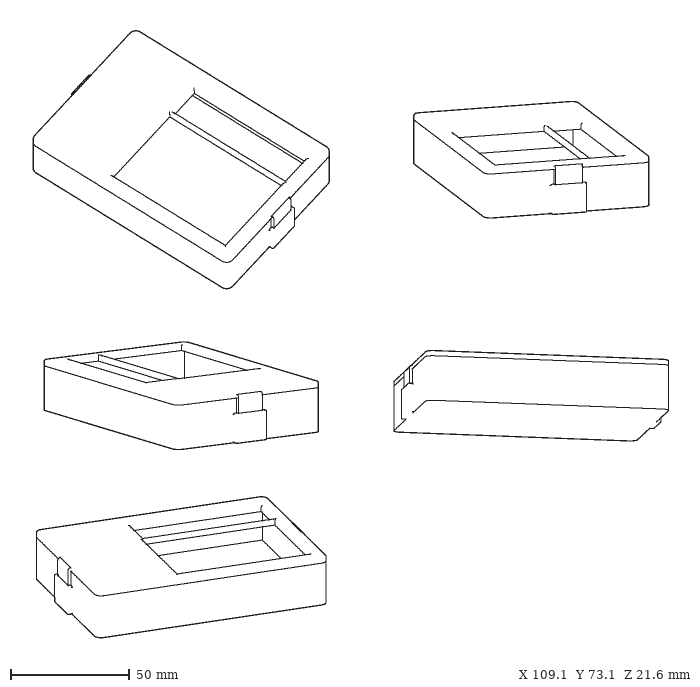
import cadquery as cq
length = 105.08
width = 73.08
height = 21.6
wall = 2.4
corner_radius = 3.2
lid_thickness = wall
lid_edge_radius = 0.7
base_height = height - lid_thickness

window_x_max = 46.35
screen_x_min = -13.6
screen_y_min = -30.3
screen_y_max = 9.9
screen_rim_radius = 0.7
key_x_min = -12.7
key_y_min = 11.75
key_y_max = 25.9
key_rim_radius = 1.0

blend_radius = 0.32
arm_width = 12.0
arm_thickness = 1.2
arm_top = height - 0.85
arm_bottom = wall
sleeve_width = 15.36
sleeve_depth = 2.03
sleeve_height = 12.8
sleeve_edge_radius = 0.4


def block(x_min, x_max, y_min, y_max, z_min, z_max):
    """Axis-aligned block between the given limits."""
    size = (x_max - x_min, y_max - y_min, z_max - z_min)
    return cq.Workplane("XY").box(*size, centered=False).translate((x_min, y_min, z_min))


def case_slab(z_min, z_max):
    """Slab with the rounded outline of the case."""
    slab = block(-length / 2, length / 2, -width / 2, width / 2, z_min, z_max)
    return slab.edges("|Z").fillet(corner_radius)


def cut_window(lid, x_min, x_max, y_min, y_max, rim_radius):
    """Cut an opening through the lid and round its upper rim."""
    lid = lid.cut(block(x_min, x_max, y_min, y_max, base_height, height))
    margin = 0.1
    rim = cq.selectors.BoxSelector(
        (x_min - margin, y_min - margin, height - margin),
        (x_max + margin, y_max + margin, height + margin),
    )
    return lid.edges(rim).fillet(rim_radius)


def end_pad(pad_width, thickness, z_min, z_max):
    """Upright pad on the +X end face whose two sides meet that face on concave rounds."""
    x_face = length / 2
    side = pad_width / 2
    toe = side + blend_radius
    x_blend = x_face + blend_radius
    x_out = x_face + thickness
    return (
        cq.Workplane("XY", origin=(0, 0, z_min))
        .moveTo(x_face, -toe)
        .radiusArc((x_blend, -side), blend_radius)
        .lineTo(x_out, -side)
        .lineTo(x_out, side)
        .lineTo(x_blend, side)
        .radiusArc((x_face, toe), blend_radius)
        .close()
        .extrude(z_max - z_min)
    )


def clip_arm():
    """Arm along the end face, with its outer top edge rounded over."""
    arm = end_pad(arm_width, arm_thickness, arm_bottom, arm_top)
    rounding_z = arm_top - arm_thickness
    x_face = length / 2
    x_out = x_face + arm_thickness
    profile = (
        cq.Workplane("XZ", origin=(0, width / 2, 0))
        .moveTo(x_face, arm_bottom)
        .lineTo(x_out, arm_bottom)
        .lineTo(x_out, rounding_z)
        .radiusArc((x_face, arm_top), -arm_thickness)
        .close()
        .extrude(width)
    )
    return arm.intersect(profile)


def sleeve():
    """Sleeve block, solid until the arm is cut out of it, with all edges away from the base rounded."""
    half_width = sleeve_width / 2
    x_out = length / 2 + sleeve_depth
    body = block(length / 2, x_out, -half_width, half_width, 0, sleeve_height)
    body = body.edges("|X or >X").fillet(sleeve_edge_radius)
    blends = end_pad(
        sleeve_width,
        sleeve_depth - sleeve_edge_radius,
        sleeve_edge_radius,
        sleeve_height - sleeve_edge_radius,
    )
    return body.union(blends)


def both_ends(feature):
    """The feature at the +X end and its mirror image at the -X end."""
    return [feature, feature.mirror("YZ")]


def make_lid():
    lid = case_slab(base_height, height).faces(">Z").edges().fillet(lid_edge_radius)
    lid = cut_window(lid, screen_x_min, window_x_max, screen_y_min, screen_y_max, screen_rim_radius)
    lid = cut_window(lid, key_x_min, window_x_max, key_y_min, key_y_max, key_rim_radius)
    for arm in both_ends(clip_arm()):
        lid = lid.union(arm)
    return lid


def make_base():
    base = case_slab(0, base_height)
    for end_sleeve in both_ends(sleeve()):
        base = base.union(end_sleeve)
    x_inside = length / 2 - wall
    y_inside = width / 2 - wall
    base = base.cut(block(-x_inside, x_inside, -y_inside, y_inside, wall, base_height))
    for arm in both_ends(clip_arm()):
        base = base.cut(arm)
    return base


lid = make_lid()
base = make_base()
result = cq.Compound.makeCompound([lid.solids().val(), base.solids().val()])